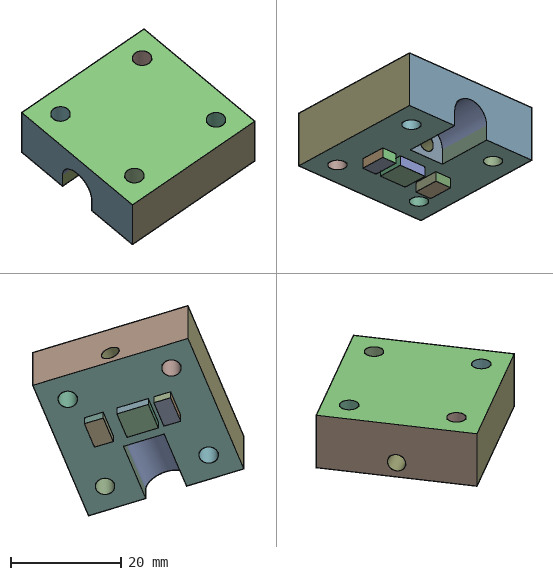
import cadquery as cq

side = 30
block_height = 11.0
front_y = -side / 2

mount_diameter = 3.5
mount_spacing = 20.0

bore_diameter = 3.4
bore_z = 3
pocket_width = 7.85
pocket_depth = 12

pad_spans = [(-8.13, -4.9), (-3.8, 2.25), (4.9, 8.52)]
pad_front_y = -0.18
pad_back_y = 5.22
pad_height = 13.0 - block_height


def make_block():
    block = cq.Workplane("XY").box(side, side, block_height, centered=(True, True, False))
    return (
        block.faces(">Z").workplane()
        .rect(mount_spacing, mount_spacing, forConstruction=True)
        .vertices()
        .hole(mount_diameter)
    )


def make_pocket():
    """Round-topped pocket, open at the front and the underside."""
    radius = pocket_width / 2
    return (
        cq.Workplane("XZ", origin=(0, front_y, 0))
        .moveTo(-radius, 0)
        .lineTo(-radius, bore_z)
        .threePointArc((0, bore_z + radius), (radius, bore_z))
        .lineTo(radius, 0)
        .close()
        .extrude(-pocket_depth)
    )


def make_bore():
    """Cylinder running the full depth of the block."""
    return (
        cq.Workplane("XZ", origin=(0, front_y, bore_z))
        .circle(bore_diameter / 2)
        .extrude(-side)
    )


def make_pad(left, right):
    """Rectangular pad hanging below the underside."""
    return (
        cq.Workplane("XY")
        .moveTo((left + right) / 2, (pad_front_y + pad_back_y) / 2)
        .rect(right - left, pad_back_y - pad_front_y)
        .extrude(-pad_height)
    )


result = make_block().cut(make_pocket()).cut(make_bore())
for left, right in pad_spans:
    result = result.union(make_pad(left, right))